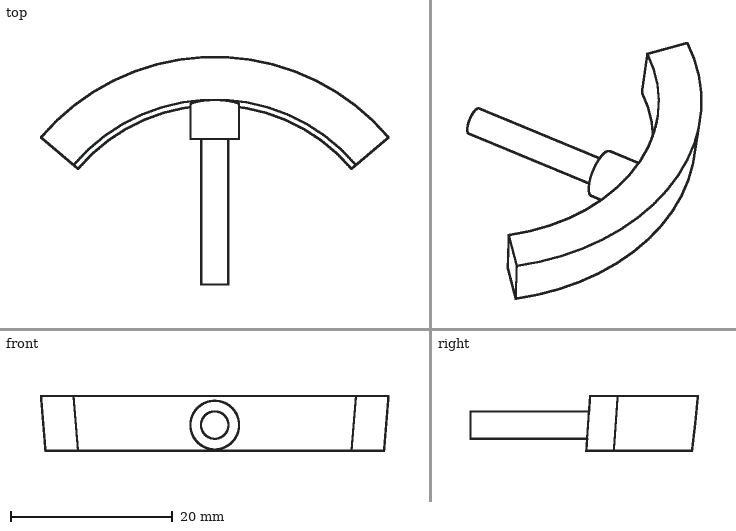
import cadquery as cq
import math

outer_radius = 28.15
wall = 5.3
height = 6.8
bottom_inset = 0.75
overall_width = 43.0
half_angle = math.asin(overall_width / 2 / outer_radius)

pin_diameter = 3.4
collar_diameter = 6.0
collar_start = 17.95
pin_height = 3.2

inner_radius = outer_radius - wall


def rim_segment():
    """Revolve the leaning wall section symmetrically about the +Y direction."""
    section = [
        (inner_radius - bottom_inset, 0),
        (outer_radius - bottom_inset, 0),
        (outer_radius, height),
        (inner_radius, height),
    ]
    sweep = 2 * math.degrees(half_angle)
    start = 90 - math.degrees(half_angle)
    ring = cq.Workplane("XZ").polyline(section).close().revolve(sweep, (0, 0), (0, 1))
    return ring.rotate((0, 0, 0), (0, 0, 1), start)


def rod(diameter, start, end):
    """Round bar along +Y at the pin height."""
    plane = cq.Plane(origin=(0, start, pin_height), xDir=(1, 0, 0), normal=(0, 1, 0))
    return cq.Workplane(plane).circle(diameter / 2).extrude(end - start)


embed_radius = inner_radius + wall / 2
pin = rod(pin_diameter, 0, embed_radius)
collar = rod(collar_diameter, collar_start, embed_radius)
result = rim_segment().union(collar).union(pin)